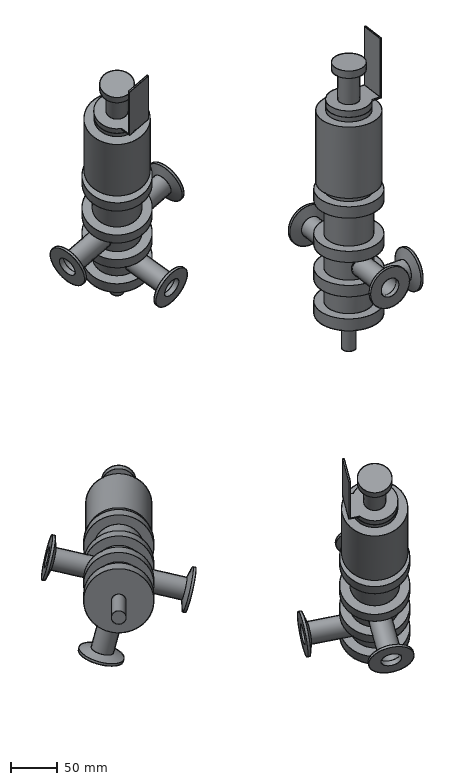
import cadquery as cq

ROD_BOTTOM = 0.0
FLANGE_BOTTOMS_AND_TOPS = [(44.3, 59.5), (87.5, 101.8), (131.0, 145.0), (187.0, 201.3)]
BARREL_BOTTOM = FLANGE_BOTTOMS_AND_TOPS[0][0]
ACTUATOR_BOTTOM = 210.5
ACTUATOR_TOP = 300.7
COLLAR_TOP = 306.5
CAP_TOP = 314.7
KNOB_BOTTOM = 352.0
KNOB_TOP = 361.5
PLATE_TOP = 388.5

ROD_DIAMETER = 16.0
BARREL_DIAMETER = 54.0
FLANGE_DIAMETER = 76.0
ACTUATOR_DIAMETER = 72.0
COLLAR_DIAMETER = 50.0
CAP_DIAMETER = 50.5
STEM_DIAMETER = 24.0
KNOB_DIAMETER = 37.5

PORT_REACH = 80.0
PORT_DIAMETER = 25.3
PORT_BORE_DIAMETER = 23.0
FERRULE_DIAMETER = 50.5
FERRULE_RIM = 3.0
FERRULE_LENGTH = 7.0
SIDE_PORT_HEIGHT = 73.0
CROSS_PORT_HEIGHT = 116.0
PORTS = [(0, SIDE_PORT_HEIGHT), (90, CROSS_PORT_HEIGHT), (-90, CROSS_PORT_HEIGHT)]

PLATE_WIDTH = 30.5
PLATE_OUTER_X = 32.2
PLATE_THICKNESS = 2.0


def cylinder(diameter, bottom, top):
    """Upright cylinder on the valve axis."""
    return cq.Workplane("XY").workplane(offset=bottom).circle(diameter / 2).extrude(top - bottom)


def port_outside(angle, height):
    """Pipe and ferrule, turned about a horizontal axis that points outward at the angle."""
    outline = [
        (0, 0),
        (0, PORT_DIAMETER / 2),
        (PORT_REACH - FERRULE_LENGTH, PORT_DIAMETER / 2),
        (PORT_REACH - FERRULE_RIM, FERRULE_DIAMETER / 2),
        (PORT_REACH, FERRULE_DIAMETER / 2),
        (PORT_REACH, 0),
    ]
    port = cq.Workplane("XY").polyline(outline).close().revolve(360, (0, 0, 0), (1, 0, 0))
    return port.rotate((0, 0, 0), (0, 0, 1), angle).translate((0, 0, height))


def port_bore(angle, height):
    """Bore of a port, reaching from its open end to the barrel wall."""
    bore = cq.Workplane("YZ").circle(PORT_BORE_DIAMETER / 2).extrude(PORT_REACH)
    bore = bore.rotate((0, 0, 0), (0, 0, 1), angle).translate((0, 0, height))
    return bore.cut(cylinder(BARREL_DIAMETER, BARREL_BOTTOM, ACTUATOR_BOTTOM))


def make_valve():
    """Barrel with flanges, ports, actuator, bottom rod, and the stem with its knob."""
    valve = cylinder(BARREL_DIAMETER, BARREL_BOTTOM, ACTUATOR_BOTTOM)
    for angle, height in PORTS:
        valve = valve.union(port_outside(angle, height))
    for bottom, top in FLANGE_BOTTOMS_AND_TOPS:
        valve = valve.union(cylinder(FLANGE_DIAMETER, bottom, top))
    valve = valve.union(cylinder(ROD_DIAMETER, ROD_BOTTOM, BARREL_BOTTOM))
    valve = valve.union(cylinder(ACTUATOR_DIAMETER, ACTUATOR_BOTTOM, ACTUATOR_TOP))
    valve = valve.union(cylinder(COLLAR_DIAMETER, ACTUATOR_TOP, COLLAR_TOP))
    valve = valve.union(cylinder(STEM_DIAMETER, COLLAR_TOP, KNOB_BOTTOM))
    valve = valve.union(cylinder(KNOB_DIAMETER, KNOB_BOTTOM, KNOB_TOP))
    for angle, height in PORTS:
        valve = valve.cut(port_bore(angle, height))
    return valve


def make_indicator():
    """Cap ring around the stem with a flat tab bent up into the indicator plate."""
    cap = cylinder(CAP_DIAMETER, COLLAR_TOP, CAP_TOP)
    tab_bottom = CAP_TOP - PLATE_THICKNESS
    tab = cq.Workplane("XY").box(PLATE_OUTER_X, PLATE_WIDTH, PLATE_THICKNESS, centered=(False, True, False))
    tab = tab.translate((0, 0, tab_bottom))
    plate = cq.Workplane("XY").box(
        PLATE_THICKNESS, PLATE_WIDTH, PLATE_TOP - tab_bottom, centered=(False, True, False)
    )
    plate = plate.translate((PLATE_OUTER_X - PLATE_THICKNESS, 0, tab_bottom))
    stem_hole = cylinder(STEM_DIAMETER, COLLAR_TOP, CAP_TOP)
    return cap.union(tab).union(plate).cut(stem_hole)


valve = make_valve()
indicator = make_indicator()
result = cq.Compound.makeCompound([valve.val(), indicator.val()])